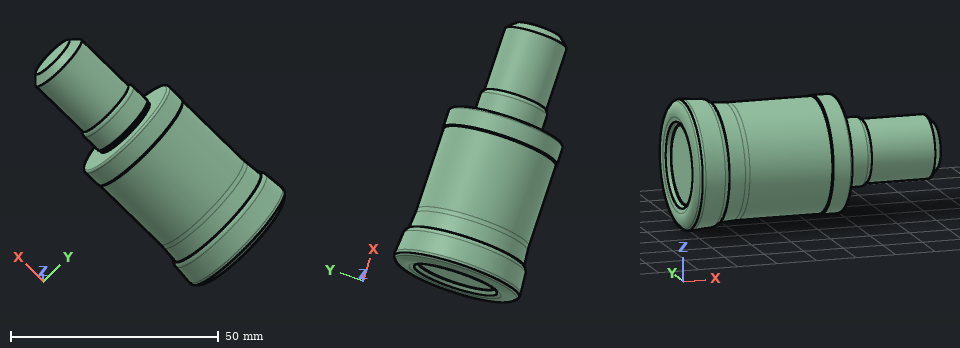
import cadquery as cq
import math

TOTAL_LENGTH = 65

CAP_BACK_X = 8.5
CREST_RADIUS = 13
CREST_ARC_RADIUS = 3.95
CREST_INNER_RADIUS = 11.7
CREST_OUTER_RADIUS = 15.5
RIM_X = 1.4
RIM_RADIUS = 15.9
CAP_MAX_RADIUS = 32.05 / 2
CAP_TAPER_START_X = 2.2
CAP_TAPER_END_X = 7.3
CAP_TAPER_END_RADIUS = 15.6
CAP_BACK_RADIUS = 15.1
BEVEL_RADIUS = 10.55
BEVEL_X = 0.55
BORE_RADIUS = 9.8
BORE_LIP_X = 1.6

NOSE_X = BORE_LIP_X
NOSE_CHAMFER = 0.2
FLARE_RADIUS = 14.75
FLARE_END_X = 12.75
FLARE_END_RADIUS = 14.4
FLARE_BLEND_END_X = 13.9
BARREL_RADIUS = 28.6 / 2
COLLAR_RADIUS = 29.0 / 2
COLLAR_START_X = 34.8
COLLAR_END_X = 40.0
COLLAR_STEP_LENGTH = 0.25
COLLAR_ROUND = 0.6

NECK_RADIUS = 8.25
NECK_END_X = 40.45
LAND_RADIUS = 17.0 / 2
LAND_START_X = 41.05
LAND_END_X = 45.7
STUD_RADIUS = 15.75 / 2
STUD_START_X = 46.9
STUD_CHAMFER = 2.1


def revolve_about_x(profile):
    """Turn a closed (x, radius) profile a full circle about the X axis."""
    return profile.close().revolve(360, (0, 0, 0), (1, 0, 0))


def crest_x(radius):
    """X of the rounded front face of the cap at a given radius."""
    return CREST_ARC_RADIUS - math.sqrt(CREST_ARC_RADIUS**2 - (radius - CREST_RADIUS) ** 2)


def make_cap():
    """Ring with a rounded front face and a bevelled mouth."""
    profile = (
        cq.Workplane("XY")
        .moveTo(CAP_BACK_X, BORE_RADIUS)
        .lineTo(BORE_LIP_X, BORE_RADIUS)
        .lineTo(BEVEL_X, BEVEL_RADIUS)
        .lineTo(crest_x(CREST_INNER_RADIUS), CREST_INNER_RADIUS)
        .threePointArc((0, CREST_RADIUS), (crest_x(CREST_OUTER_RADIUS), CREST_OUTER_RADIUS))
        .lineTo(RIM_X, RIM_RADIUS)
        .lineTo(CAP_TAPER_START_X, CAP_MAX_RADIUS)
        .lineTo(CAP_TAPER_END_X, CAP_TAPER_END_RADIUS)
        .tangentArcPoint((CAP_BACK_X, CAP_BACK_RADIUS), relative=False)
    )
    return revolve_about_x(profile)


def make_housing():
    """Nose that fills the cap bore, flared barrel with a collar, and stepped stud."""
    profile = (
        cq.Workplane("XY")
        .moveTo(NOSE_X, 0)
        .lineTo(NOSE_X, BORE_RADIUS - NOSE_CHAMFER)
        .lineTo(NOSE_X + NOSE_CHAMFER, BORE_RADIUS)
        .lineTo(CAP_BACK_X, BORE_RADIUS)
        .lineTo(CAP_BACK_X, FLARE_RADIUS)
        .lineTo(FLARE_END_X, FLARE_END_RADIUS)
        .tangentArcPoint((FLARE_BLEND_END_X, BARREL_RADIUS), relative=False)
        .lineTo(COLLAR_START_X, BARREL_RADIUS)
        .lineTo(COLLAR_START_X + COLLAR_STEP_LENGTH, COLLAR_RADIUS)
        .lineTo(COLLAR_END_X - COLLAR_ROUND, COLLAR_RADIUS)
        .tangentArcPoint((COLLAR_END_X, COLLAR_RADIUS - COLLAR_ROUND), relative=False)
        .lineTo(COLLAR_END_X, NECK_RADIUS)
        .lineTo(NECK_END_X, NECK_RADIUS)
        .lineTo(LAND_START_X, LAND_RADIUS)
        .lineTo(LAND_END_X, LAND_RADIUS)
        .tangentArcPoint((STUD_START_X, STUD_RADIUS), relative=False)
        .lineTo(TOTAL_LENGTH - STUD_CHAMFER, STUD_RADIUS)
        .lineTo(TOTAL_LENGTH, STUD_RADIUS - STUD_CHAMFER)
        .lineTo(TOTAL_LENGTH, 0)
    )
    return revolve_about_x(profile)


cap = make_cap()
housing = make_housing()

result = cq.Compound.makeCompound([cap.val(), housing.val()])